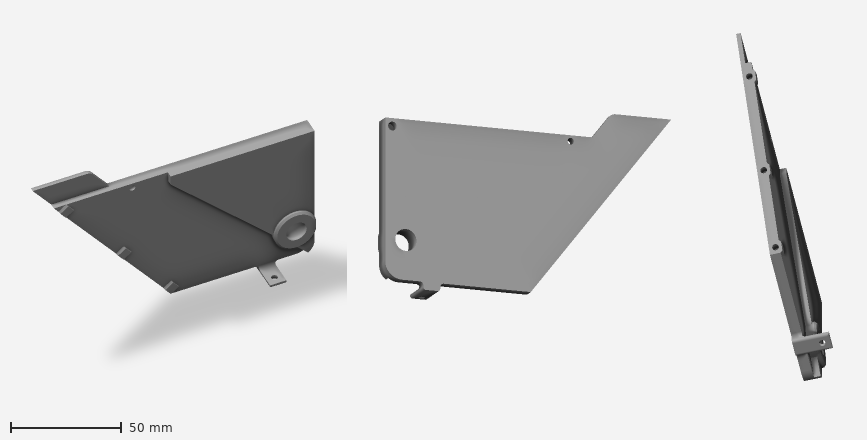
import cadquery as cq
import math

LENGTH = 137.9
HEIGHT = 90.7
PANEL_BOTTOM = 3.7
PANEL_TOP = 78.9
CORNER_RADIUS = 8.0

SLANT_BOTTOM_Y = 67.7
SLANT_RUN_PER_RISE = SLANT_BOTTOM_Y / (HEIGHT - PANEL_BOTTOM)
SLANT_ANGLE = math.atan(SLANT_RUN_PER_RISE)

PANEL_THICKNESS = 5.0
THICK_THICKNESS = 8.0
PIVOT_BOSS_TOP = 9.9

THICK_FRONT_Y = 66.0
THICK_END_HEIGHT = 5.0

PIVOT_Y = 128.0
PIVOT_Z = 22.5
PIVOT_HOLE_DIAMETER = 10.2
PIVOT_BOSS_RADIUS = 10.6
PIVOT_BOSS_CHAMFER = 1.0

PIN_HOLE_Y = 48.4
PIN_HOLE_Z = 76.1
PIN_HOLE_DIAMETER = 3.0
BLIND_HOLE_Y = 134.5
BLIND_HOLE_Z = 75.2
BLIND_HOLE_DIAMETER = 4.1
BLIND_HOLE_DEPTH = 4.0

SCREW_HEIGHTS = (6.2, 36.5, 73.5)
SCREW_X = 3.0
SCREW_HOLE_DIAMETER = 3.0
SCREW_BOSS_LENGTH = 5.0
SCREW_BOSS_TOP = 5.9
SCREW_BOSS_BASE_WIDTH = 6.3
SCREW_BOSS_TOP_WIDTH = SCREW_BOSS_BASE_WIDTH - 2 * (SCREW_BOSS_TOP - PANEL_THICKNESS)

LUG_REACH = 17.2
LUG_Y = 115.4
LUG_WIDTH = 8.1
LUG_THICKNESS = 1.9
LUG_EDGE_ROUND = 1.2
LUG_NECK_RADIUS = PANEL_BOTTOM - LUG_THICKNESS
LUG_HOLE_X = 13.2
LUG_HOLE_DIAMETER = 3.0

FLAP_THICKNESS = 2.0
FLAP_REAR_Y = 38.0
FLAP_CORNER_RADIUS = 4.0


def slant_y(z):
    """Y of the slanted edge at height z."""
    return (HEIGHT - z) * SLANT_RUN_PER_RISE


def panel_slab(thickness):
    """Full panel outline, with its rounded lower rear corner, from X = 0."""
    return (
        cq.Workplane("YZ")
        .moveTo(slant_y(PANEL_TOP), PANEL_TOP)
        .lineTo(LENGTH, PANEL_TOP)
        .lineTo(LENGTH, PANEL_BOTTOM + CORNER_RADIUS)
        .radiusArc((LENGTH - CORNER_RADIUS, PANEL_BOTTOM), CORNER_RADIUS)
        .lineTo(SLANT_BOTTOM_Y, PANEL_BOTTOM)
        .close()
        .extrude(thickness)
    )


def thick_area():
    """Rear part of the panel that is thicker than the rest."""
    edge_top = PANEL_TOP - THICK_END_HEIGHT
    drop = LENGTH - THICK_FRONT_Y
    region = (
        cq.Workplane("YZ")
        .polyline([
            (THICK_FRONT_Y, PANEL_TOP),
            (THICK_FRONT_Y, edge_top),
            (LENGTH, edge_top - drop),
            (LENGTH, PANEL_TOP),
        ])
        .close()
        .extrude(THICK_THICKNESS)
    )
    return panel_slab(THICK_THICKNESS).intersect(region)


def pivot_boss():
    """Chamfered round boss standing above the thick area, kept within the panel outline."""
    boss = (
        cq.Workplane("YZ")
        .center(PIVOT_Y, PIVOT_Z)
        .circle(PIVOT_BOSS_RADIUS)
        .extrude(PIVOT_BOSS_TOP)
        .faces(">X")
        .chamfer(PIVOT_BOSS_CHAMFER)
    )
    return boss.intersect(panel_slab(PIVOT_BOSS_TOP))


def screw_plane(z):
    """Plane on the slanted edge: local x along X, local y up the slant, normal pointing outward."""
    outward = (0, -math.cos(SLANT_ANGLE), -math.sin(SLANT_ANGLE))
    return cq.Workplane(cq.Plane(origin=(0, slant_y(z), z), xDir=(1, 0, 0), normal=outward))


def screw_boss(z):
    half_base = SCREW_BOSS_BASE_WIDTH / 2
    half_top = SCREW_BOSS_TOP_WIDTH / 2
    boss = (
        screw_plane(z)
        .polyline([
            (0, -half_base),
            (PANEL_THICKNESS, -half_base),
            (SCREW_BOSS_TOP, -half_top),
            (SCREW_BOSS_TOP, half_top),
            (PANEL_THICKNESS, half_base),
            (0, half_base),
        ])
        .close()
        .extrude(-SCREW_BOSS_LENGTH)
    )
    return boss.intersect(panel_slab(SCREW_BOSS_TOP))


def screw_hole(z):
    return screw_plane(z).center(SCREW_X, 0).circle(SCREW_HOLE_DIAMETER / 2).extrude(-SCREW_BOSS_LENGTH)


def lug():
    """Flat lug under the panel, with a neck that flares into the panel bottom and back face."""
    front = LUG_Y - LUG_WIDTH / 2
    rear = LUG_Y + LUG_WIDTH / 2
    plate = (
        cq.Workplane("XY")
        .box(LUG_REACH, LUG_WIDTH, LUG_THICKNESS, centered=(False, True, False))
        .translate((0, LUG_Y, 0))
        .faces("<Z")
        .edges("|X or >X")
        .fillet(LUG_EDGE_ROUND)
    )
    neck = (
        cq.Workplane("YZ")
        .moveTo(front - LUG_NECK_RADIUS, PANEL_BOTTOM)
        .radiusArc((front, LUG_THICKNESS), LUG_NECK_RADIUS)
        .lineTo(rear, LUG_THICKNESS)
        .radiusArc((rear + LUG_NECK_RADIUS, PANEL_BOTTOM), LUG_NECK_RADIUS)
        .close()
        .extrude(PANEL_THICKNESS)
    )
    back_fillet = (
        cq.Workplane("XZ", origin=(0, rear, 0))
        .moveTo(PANEL_THICKNESS, PANEL_BOTTOM)
        .radiusArc((PANEL_THICKNESS + LUG_NECK_RADIUS, LUG_THICKNESS), -LUG_NECK_RADIUS)
        .lineTo(PANEL_THICKNESS, LUG_THICKNESS)
        .close()
        .extrude(LUG_WIDTH)
    )
    hole = (
        cq.Workplane("XY")
        .center(LUG_HOLE_X, LUG_Y)
        .circle(LUG_HOLE_DIAMETER / 2)
        .extrude(LUG_THICKNESS)
    )
    return plate.union(neck).union(back_fillet).cut(hole)


def face_hole(y, z, diameter, depth):
    """Round hole sunk from the X = 0 face."""
    return cq.Workplane("YZ").center(y, z).circle(diameter / 2).extrude(depth)


def build_panel():
    panel = panel_slab(PANEL_THICKNESS).union(thick_area()).union(pivot_boss()).union(lug())
    for z in SCREW_HEIGHTS:
        panel = panel.union(screw_boss(z))
    for z in SCREW_HEIGHTS:
        panel = panel.cut(screw_hole(z))
    panel = panel.cut(face_hole(PIVOT_Y, PIVOT_Z, PIVOT_HOLE_DIAMETER, PIVOT_BOSS_TOP))
    panel = panel.cut(face_hole(PIN_HOLE_Y, PIN_HOLE_Z, PIN_HOLE_DIAMETER, PANEL_THICKNESS))
    return panel.cut(face_hole(BLIND_HOLE_Y, BLIND_HOLE_Z, BLIND_HOLE_DIAMETER, BLIND_HOLE_DEPTH))


def build_flap():
    """Thin flap standing on the panel top; its front edge continues the slant."""
    rear_top_y = FLAP_REAR_Y - (HEIGHT - PANEL_TOP) * SLANT_RUN_PER_RISE
    return (
        cq.Workplane("YZ")
        .polyline([
            (slant_y(PANEL_TOP), PANEL_TOP),
            (slant_y(HEIGHT), HEIGHT),
            (rear_top_y, HEIGHT),
            (FLAP_REAR_Y, PANEL_TOP),
        ])
        .close()
        .extrude(FLAP_THICKNESS)
        .edges("|X and >Z")
        .edges(">Y")
        .fillet(FLAP_CORNER_RADIUS)
    )


panel = build_panel()
flap = build_flap()

result = cq.Compound.makeCompound([panel.val(), flap.val()])